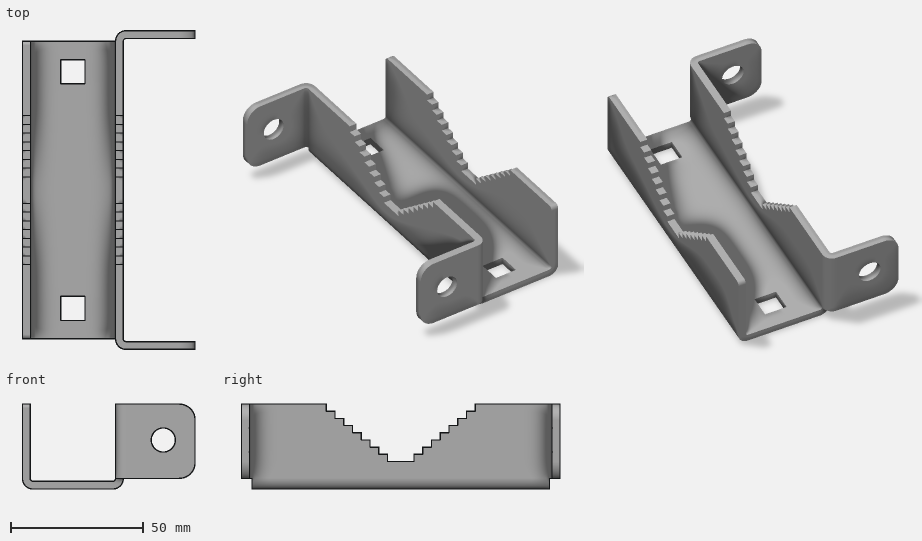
import cadquery as cq

overall_depth = 65.0
overall_length = 120.0
overall_height = 32.0

thickness = 3.0
inner_bend_radius = 1.0
outer_bend_radius = inner_bend_radius + thickness

channel_width = 38.0
channel_length = overall_length - 2 * outer_bend_radius
wall_corner_radius = 1.5

notch_top_width = 56.0
notch_bottom_width = 10.0
notch_depth = 21.6
step_count = 8

square_hole_size = 9.0
square_hole_spacing = 89.0

ear_corner_radius = 6.0
ear_hole_diameter = 9.0
ear_hole_from_edge = 12.0
ear_hole_from_top = 13.5

clearance = 1.2


def make_channel():
    """U channel along Y with a rounded bend at each lower edge."""
    outer = (
        cq.Workplane("XY")
        .box(channel_width, channel_length, overall_height, centered=(False, True, False))
        .edges("|Y and <Z")
        .fillet(outer_bend_radius)
    )
    inner = (
        cq.Workplane("XY")
        .box(channel_width - 2 * thickness, channel_length, overall_height, centered=(False, True, False))
        .translate((thickness, 0, thickness))
        .edges("|Y and <Z")
        .fillet(inner_bend_radius)
    )
    return outer.cut(inner).edges("|X").edges(">Z").edges("<X").fillet(wall_corner_radius)


def make_ear():
    """Ear at the +Y end, bent outward from the wall at X = channel_width."""
    bend_start_x = channel_width - thickness
    bend_start_y = channel_length / 2
    bend_center_x = bend_start_x + outer_bend_radius
    ear_outer_y = overall_length / 2
    ear_height = overall_height - outer_bend_radius
    ear = (
        cq.Workplane("XY", origin=(0, 0, outer_bend_radius))
        .moveTo(bend_start_x, bend_start_y)
        .radiusArc((bend_center_x, ear_outer_y), outer_bend_radius)
        .lineTo(overall_depth, ear_outer_y)
        .lineTo(overall_depth, ear_outer_y - thickness)
        .lineTo(bend_center_x, ear_outer_y - thickness)
        .radiusArc((channel_width, bend_start_y), -inner_bend_radius)
        .close()
        .extrude(ear_height)
        .edges("|Y and >X")
        .fillet(ear_corner_radius)
    )
    hole_center = (overall_depth - ear_hole_from_edge, overall_height - ear_hole_from_top)
    hole = (
        cq.Workplane("XZ", origin=(0, ear_outer_y + clearance, 0))
        .center(*hole_center)
        .circle(ear_hole_diameter / 2)
        .extrude(thickness + 2 * clearance)
    )
    return ear.cut(hole)


def cut_notch(body):
    """Cut one slab per step through both walls, each narrower and deeper than the last."""
    step_height = notch_depth / step_count
    narrowing = (notch_top_width - notch_bottom_width) / (step_count - 1)
    for step in range(step_count):
        slab_width = notch_top_width - step * narrowing
        slab_depth = (step + 1) * step_height
        slab = (
            cq.Workplane("XY", origin=(0, 0, overall_height - slab_depth))
            .box(channel_width, slab_width, slab_depth, centered=(False, True, False))
        )
        body = body.cut(slab)
    return body


def make_square_holes():
    """Square cutters through the floor, on the channel centreline."""
    return (
        cq.Workplane("XY", origin=(channel_width / 2, 0, -clearance))
        .rarray(1.2, square_hole_spacing, 1, 2)
        .rect(square_hole_size, square_hole_size)
        .extrude(thickness + 2 * clearance)
    )


ear = make_ear()
bracket = make_channel().union(ear).union(ear.mirror("XZ"))
result = cut_notch(bracket).cut(make_square_holes())